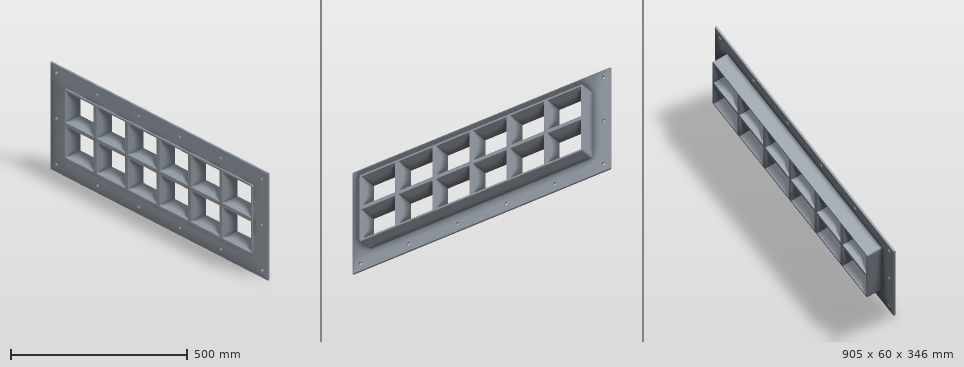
import cadquery as cq

flange_length = 905.0
flange_height = 346.0
flange_thickness = 6.0

frame_length = 784.0
frame_height = 226.0
frame_depth = 60.0
frame_corner_radius = 6.0
front_projection = 5.0
wall_thickness = 6.0

columns = 6
rows = 2
rib_thickness = 12.0
opening_length = (frame_length - 2 * wall_thickness - (columns - 1) * rib_thickness) / columns
opening_height = (frame_height - 2 * wall_thickness - (rows - 1) * rib_thickness) / rows

hole_diameter = 11.0
hole_columns = 6
hole_rows = 3
hole_span_x = 855.0
hole_span_z = 296.0
hole_pitch_x = hole_span_x / (hole_columns - 1)
hole_pitch_z = hole_span_z / (hole_rows - 1)


def block(length, height, front_y, depth):
    """Block centred on the Y axis, running back from front_y."""
    box = cq.Workplane("XY").box(length, depth, height, centered=(True, False, True))
    return box.translate((0, front_y, 0))


def grid_openings():
    """Through cutters for the rectangular grid cells."""
    return (
        cq.Workplane("XZ")
        .rarray(opening_length + rib_thickness, opening_height + rib_thickness, columns, rows)
        .rect(opening_length, opening_height)
        .extrude(-frame_depth)
    )


def mounting_holes():
    """Through cutters along the top and bottom edges, plus mid-height holes at both ends."""
    edge_rows = (
        cq.Workplane("XZ")
        .rarray(hole_pitch_x, hole_span_z, hole_columns, 2)
        .circle(hole_diameter / 2)
        .extrude(-frame_depth)
    )
    end_columns = (
        cq.Workplane("XZ")
        .rarray(hole_span_x, hole_pitch_z, 2, hole_rows)
        .circle(hole_diameter / 2)
        .extrude(-frame_depth)
    )
    return edge_rows.union(end_columns)


flange = block(flange_length, flange_height, front_projection, flange_thickness)
frame = block(frame_length, frame_height, 0, frame_depth).edges("|Y").fillet(frame_corner_radius)

result = flange.union(frame).cut(grid_openings()).cut(mounting_holes())